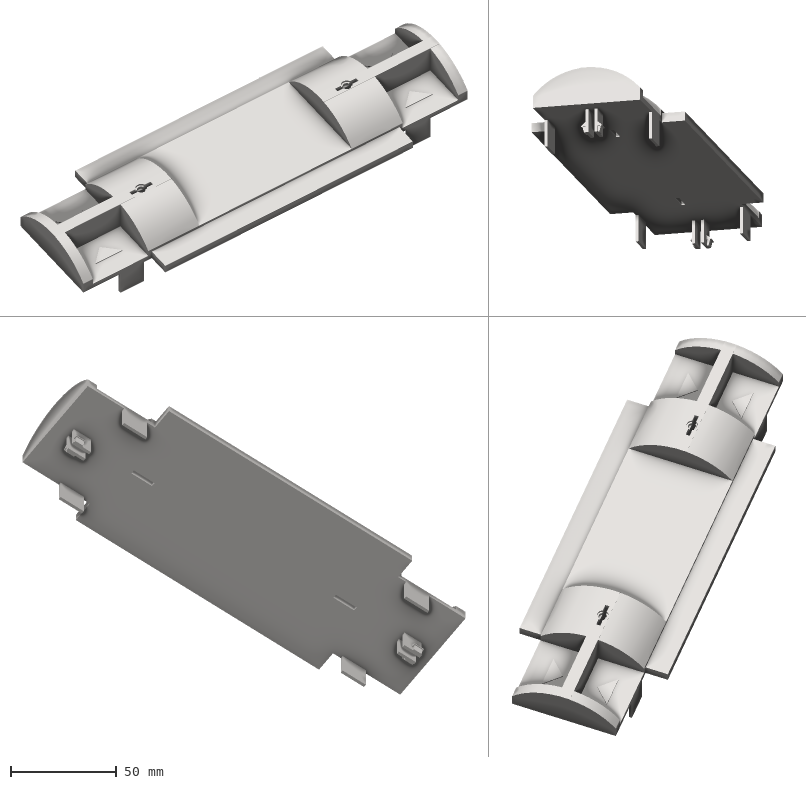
import cadquery as cq
BODY_LENGTH = 220.5
BODY_WIDTH = 52.5
BODY_HEIGHT = 6.0
FLANGE_LENGTH = 142.0
FLANGE_WIDTH = 75.0
FLANGE_HEIGHT = 4.5

DOME_LENGTH = 66.5
CREST_HEIGHT = 18.0
RIB_WIDTH = 6.0

END_WALL = 5.4
POCKET_LENGTH = 31.85
POCKET_FLOOR = 2.75

ARROW_BASE_X = 16.5
ARROW_DEPTH = 7.75
ARROW_RAISE = 0.5

SLOT_FROM_END = 51.25
SLOT_LENGTH = 12.0
SLOT_WIDTH = 2.0
RECESS_STEPS = [(5.5, 1.0), (4.0, 2.5)]

LEG_HEIGHT = 13.0
LEG_LENGTH = 13.5
LEG_THICKNESS = 1.5
LEG_FROM_END = 21.2

CLIP_HEIGHT = 11.25
CLIP_LENGTH = 10.0
CLIP_THICKNESS = 1.5
CLIP_INNER_X = 1.5
CLIP_FROM_END = 8.75
HOOK_LENGTH = 5.5
HOOK_TOP_Z = -6.25
HOOK_LIP_TOP_Z = -8.0
HOOK_LIP_BOTTOM_Z = -8.5
HOOK_REACH = 2.0
HOOK_STEP = 0.5
HOOK_TIP_REACH = 0.75

HALF_LENGTH = BODY_LENGTH / 2
HALF_WIDTH = BODY_WIDTH / 2


def block(x_min, x_max, y_min, y_max, z_min, z_max):
    """Box between the given limits."""
    size = (x_max - x_min, y_max - y_min, z_max - z_min)
    return cq.Workplane("XY").box(*size, centered=False).translate((x_min, y_min, z_min))


def make_base():
    body = block(-HALF_WIDTH, HALF_WIDTH, -HALF_LENGTH, HALF_LENGTH, 0, BODY_HEIGHT)
    flange = cq.Workplane("XY").box(FLANGE_WIDTH, FLANGE_LENGTH, FLANGE_HEIGHT, centered=(True, True, False))
    return body.union(flange)


def make_dome():
    """Arched block at the +Y end."""
    return (
        cq.Workplane("XZ", origin=(0, HALF_LENGTH, 0))
        .moveTo(-HALF_WIDTH, 0)
        .lineTo(-HALF_WIDTH, BODY_HEIGHT)
        .threePointArc((0, CREST_HEIGHT), (HALF_WIDTH, BODY_HEIGHT))
        .lineTo(HALF_WIDTH, 0)
        .close()
        .extrude(DOME_LENGTH)
    )


def make_rib():
    return block(-RIB_WIDTH / 2, RIB_WIDTH / 2, HALF_LENGTH - DOME_LENGTH, HALF_LENGTH, 0, CREST_HEIGHT)


def make_pocket():
    y_max = HALF_LENGTH - END_WALL
    return block(RIB_WIDTH / 2, HALF_WIDTH, y_max - POCKET_LENGTH, y_max, POCKET_FLOOR, CREST_HEIGHT)


def make_arrow():
    """Triangle pointing at the rib."""
    y_mid = HALF_LENGTH - END_WALL - POCKET_LENGTH / 2
    corners = [
        (ARROW_BASE_X, y_mid - ARROW_DEPTH),
        (ARROW_BASE_X, y_mid + ARROW_DEPTH),
        (ARROW_BASE_X - ARROW_DEPTH, y_mid),
    ]
    return cq.Workplane("XY").polyline(corners).close().extrude(POCKET_FLOOR + ARROW_RAISE)


def make_slot():
    y_mid = HALF_LENGTH - SLOT_FROM_END
    slot = cq.Workplane("XY").center(0, y_mid).rect(SLOT_WIDTH, SLOT_LENGTH).extrude(CREST_HEIGHT)
    for diameter, depth in RECESS_STEPS:
        recess = cq.Workplane("XY", origin=(0, y_mid, CREST_HEIGHT)).circle(diameter / 2).extrude(-depth)
        slot = slot.union(recess)
    return slot


def make_leg():
    y_max = HALF_LENGTH - LEG_FROM_END
    return block(HALF_WIDTH - LEG_THICKNESS, HALF_WIDTH, y_max - LEG_LENGTH, y_max, -LEG_HEIGHT, POCKET_FLOOR / 2)


def make_clip():
    """Thin post with a stepped hook on its outer face."""
    outer_x = CLIP_INNER_X + CLIP_THICKNESS
    y_max = HALF_LENGTH - CLIP_FROM_END
    post = block(CLIP_INNER_X, outer_x, y_max - CLIP_LENGTH, y_max, -CLIP_HEIGHT, POCKET_FLOOR / 2)
    lip = (
        cq.Workplane("XZ", origin=(0, y_max, 0))
        .polyline([
            (CLIP_INNER_X, HOOK_TOP_Z),
            (outer_x, HOOK_TOP_Z),
            (outer_x + HOOK_REACH, HOOK_LIP_TOP_Z),
            (outer_x + HOOK_REACH, HOOK_LIP_BOTTOM_Z),
            (CLIP_INNER_X, HOOK_LIP_BOTTOM_Z),
        ])
        .close()
        .extrude(HOOK_LENGTH)
    )
    tip = (
        cq.Workplane("XZ", origin=(0, y_max - HOOK_STEP, 0))
        .polyline([
            (CLIP_INNER_X, HOOK_LIP_BOTTOM_Z),
            (outer_x + HOOK_REACH - HOOK_STEP, HOOK_LIP_BOTTOM_Z),
            (outer_x + HOOK_TIP_REACH, -CLIP_HEIGHT),
            (CLIP_INNER_X, -CLIP_HEIGHT),
        ])
        .close()
        .extrude(HOOK_LENGTH - 2 * HOOK_STEP)
    )
    return post.union(lip).union(tip)


def on_both_sides(shape):
    return shape.union(shape.mirror("YZ"))


end = make_dome().union(make_rib())
end = end.cut(on_both_sides(make_pocket()))
end = end.union(on_both_sides(make_arrow()))
end = end.union(on_both_sides(make_leg()))
end = end.union(on_both_sides(make_clip()))

pockets = on_both_sides(make_pocket())
part = make_base().cut(pockets).cut(pockets.mirror("XZ"))
part = part.union(end).union(end.mirror("XZ"))
slot = make_slot()
result = part.cut(slot).cut(slot.mirror("XZ"))